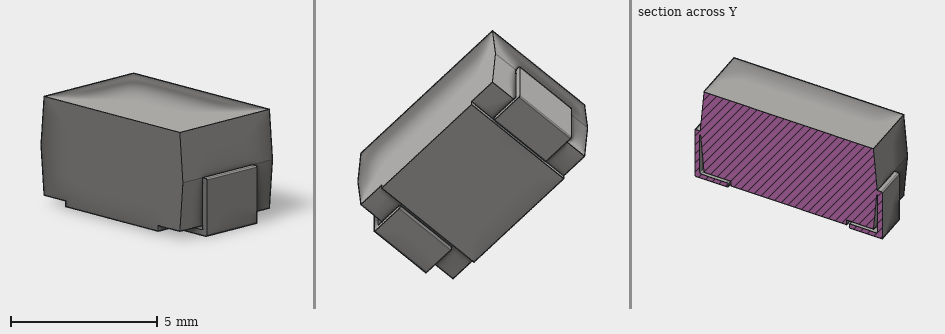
import cadquery as cq

body_depth = 4.3
body_waist_length = 6.9
body_end_length = 6.6
body_top = 3.8
body_underside = 0.3
parting_height = (body_top + body_underside) / 2

pad_length = 4.5
pad_bottom = 0.1

overall_length = 7.3
terminal_thickness = (overall_length - body_waist_length) / 2
terminal_width = 2.4
foot_length = 1.3
terminal_anchor = 0.5
edge_radius = 0.05


def make_body():
    """Body with both ends drafted away from the parting line, plus its pad."""
    waist = body_waist_length / 2
    end = body_end_length / 2
    pad = pad_length / 2
    outline = [
        (-pad, pad_bottom),
        (pad, pad_bottom),
        (pad, body_underside),
        (end, body_underside),
        (waist, parting_height),
        (end, body_top),
        (-end, body_top),
        (-waist, parting_height),
        (-end, body_underside),
        (-pad, body_underside),
    ]
    return cq.Workplane("XZ").polyline(outline).close().extrude(body_depth / 2, both=True)


def make_terminal():
    """Terminal at the +X end: buried tab, vertical strip and foot turned inward."""
    outer = overall_length / 2
    inner = outer - terminal_thickness
    foot_tip = outer - foot_length
    tab_end = inner - terminal_anchor
    outline = [
        (tab_end, parting_height),
        (outer, parting_height),
        (outer, 0),
        (foot_tip, 0),
        (foot_tip, terminal_thickness),
        (inner, terminal_thickness),
        (inner, parting_height - terminal_thickness),
        (tab_end, parting_height - terminal_thickness),
    ]
    strip = cq.Workplane("XZ").polyline(outline).close().extrude(terminal_width / 2, both=True)
    strip = strip.edges("|Y").edges(">X or <Z").fillet(edge_radius)
    for corner_x in (foot_tip, inner):
        corner = cq.selectors.NearestToPointSelector((corner_x, 0, terminal_thickness))
        strip = strip.edges(corner).fillet(edge_radius)
    return strip


terminal = make_terminal()
result = make_body().union(terminal).union(terminal.mirror("YZ"))